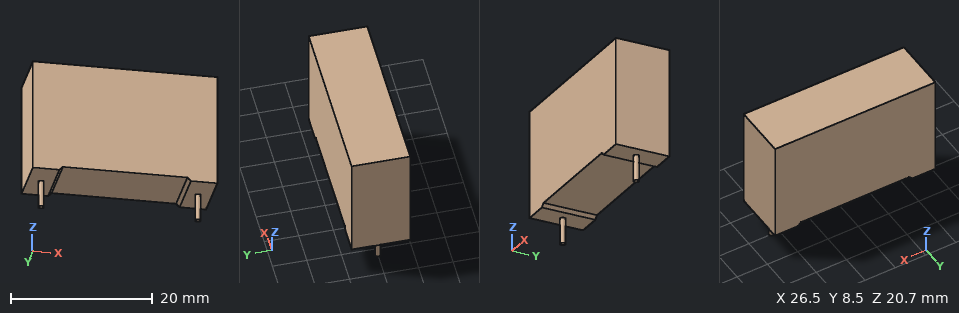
import cadquery as cq

case_length = 26.5
case_depth = 8.5
overall_height = 20.7
lead_length = 3.98
lead_diameter = 0.8
lead_spacing = 22.5
case_height = overall_height - lead_length

foot_length = 3.82
relief_height = 0.5
relief_bottom_length = case_length - 2 * foot_length
relief_top_length = relief_bottom_length - 2 * relief_height

lead_embed = 0.8


def make_case():
    """Case with its underside at Z = 0, centred on X and Y."""
    return cq.Workplane("XY").box(case_length, case_depth, case_height, centered=(True, True, False))


def make_relief():
    """Trapezoidal channel running through the full depth of the case."""
    outline = [
        (-relief_bottom_length / 2, 0),
        (relief_bottom_length / 2, 0),
        (relief_top_length / 2, relief_height),
        (-relief_top_length / 2, relief_height),
    ]
    return cq.Workplane("XZ").polyline(outline).close().extrude(case_depth / 2, both=True)


def make_leads():
    """Two round leads hanging below the case feet."""
    return (
        cq.Workplane("XY", origin=(0, 0, -lead_length))
        .pushPoints([(-lead_spacing / 2, 0), (lead_spacing / 2, 0)])
        .circle(lead_diameter / 2)
        .extrude(lead_length + lead_embed)
    )


result = make_case().cut(make_relief()).union(make_leads())